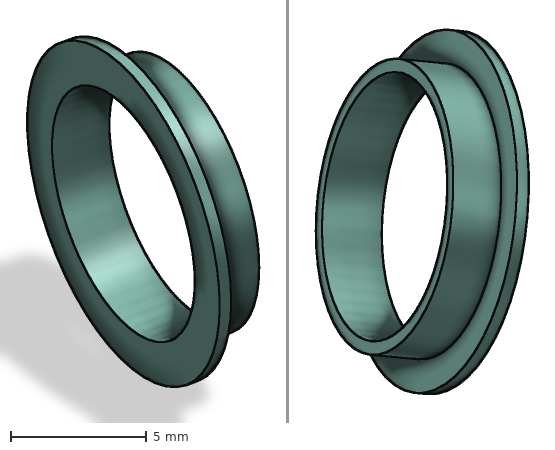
import cadquery as cq

bore_diameter = 10.0
sleeve_diameter = 11.0
flange_diameter = 13.5
flange_thickness = 0.5
overall_length = 2.5


def cylinder_along_y(diameter, length):
    """Cylinder from the Y = 0 plane toward +Y, centred on the Y axis."""
    return cq.Workplane("XZ").circle(diameter / 2).extrude(-length)


flange = cylinder_along_y(flange_diameter, flange_thickness)
sleeve = cylinder_along_y(sleeve_diameter, overall_length)
bore = cylinder_along_y(bore_diameter, overall_length)

result = flange.union(sleeve).cut(bore)